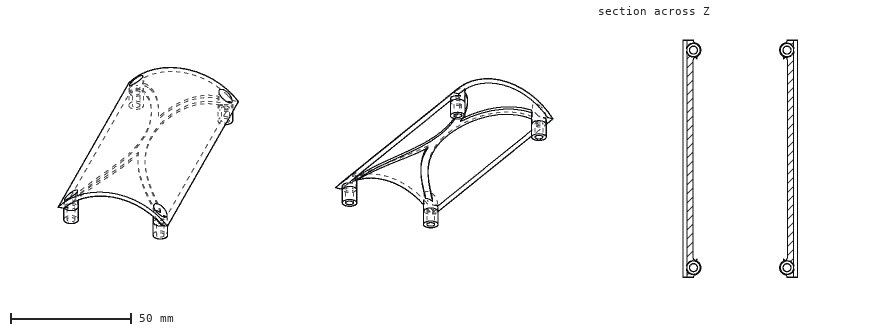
import cadquery as cq
import math

width = 47.5
length = 98.15
total_height = 19.48
outer_radius = 30.0
wall = 2.0

rib_height = 1.0
rib_width = 3.0

post_diameter = 6.1
post_fillet = 1.0
post_spacing_x = 38.7
post_spacing_y = 90.0
screw_diameter = 3.2
head_diameter = 5.5
head_seat_drop = 1.55

axis_drop = math.sqrt(outer_radius**2 - (width / 2) ** 2)
cover_height = outer_radius - axis_drop
post_drop = total_height - cover_height
inner_radius = outer_radius - wall
mid_wall_radius = outer_radius - wall / 2
rib_radius = inner_radius - rib_height
blank_length = length + 4 * post_fillet
post_centers = [
    (side * post_spacing_x / 2, end * post_spacing_y / 2)
    for side in (-1, 1)
    for end in (-1, 1)
]


def axis_cylinder(radius, cylinder_length):
    """Cylinder around the cover axis, centred on Y = 0."""
    return (
        cq.Workplane("XZ", origin=(0, 0, -axis_drop))
        .circle(radius)
        .extrude(cylinder_length / 2, both=True)
    )


def above_edge_block(size_x, size_y):
    """Centred block from the cover's bottom edge up to its crown."""
    return cq.Workplane("XY").box(size_x, size_y, cover_height, centered=(True, True, False))


def post_cylinders(diameter, bottom, top):
    """Vertical cylinders at the four posts between two heights."""
    return (
        cq.Workplane("XY", origin=(0, 0, bottom))
        .pushPoints(post_centers)
        .circle(diameter / 2)
        .extrude(top - bottom)
    )


def make_cover():
    """Arched shell with filleted post roots, cut flat at the bottom edge and square at the ends."""
    tube = axis_cylinder(outer_radius, blank_length).cut(axis_cylinder(inner_radius, blank_length))
    roots = post_cylinders(post_diameter, 0, cover_height)
    roots = roots.intersect(axis_cylinder(mid_wall_radius, blank_length))
    blank = tube.union(roots).intersect(above_edge_block(width, blank_length))
    root_zone = cq.selectors.BoxSelector(
        (-width / 2, -length / 2, post_fillet),
        (width / 2, length / 2, cover_height),
    )
    blank = blank.edges(root_zone).edges("not %LINE").fillet(post_fillet)
    return blank.intersect(above_edge_block(width, length))


def make_ribs():
    """Two bowed ribs on the underside, each joining the posts of one side through the middle."""
    half_x = post_spacing_x / 2
    half_y = post_spacing_y / 2
    bow_radius = (half_x**2 + half_y**2) / (2 * half_x)
    layer = axis_cylinder(mid_wall_radius, length).cut(axis_cylinder(rib_radius, length))
    layer = layer.intersect(above_edge_block(post_spacing_x, post_spacing_y))

    def rib(side):
        ring = (
            cq.Workplane("XY", origin=(side * bow_radius, 0, 0))
            .circle(bow_radius + rib_width / 2)
            .circle(bow_radius - rib_width / 2)
            .extrude(cover_height)
        )
        return layer.intersect(ring)

    return rib(-1).union(rib(1))


def make_posts():
    """Lower part of the four posts, below the cover's bottom edge."""
    return post_cylinders(post_diameter, -post_drop, 0)


def screw_holes():
    """Through holes with counterbores that open at the top of the cover."""
    shanks = post_cylinders(screw_diameter, -post_drop, cover_height)
    heads = post_cylinders(head_diameter, -head_seat_drop, cover_height)
    return shanks.union(heads)


result = make_cover().union(make_ribs()).union(make_posts()).cut(screw_holes())